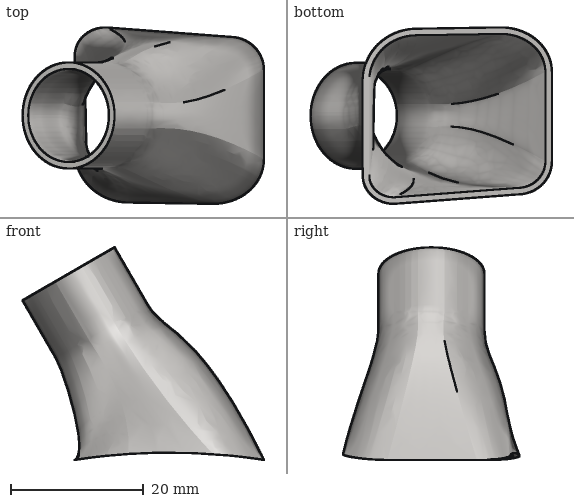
import cadquery as cq
import math

wall = 1.0
neck_radius = 8.0
neck_length = 10.0
neck_tilt = 30.0
neck_top_x = -15.17
neck_top_z = 28.02
foot_half_length = 14.25
saddle_radius = 92.5

end_side_angle = 14.5
flank_side_angle = 16.8

steps_around = 8
neck_sections = 8
flare_sections = 12
sew_tolerance = 1e-3

shapes = cq.occ_impl.shapes

seams = [
    dict(angle=end_side_angle, foot=(foot_half_length, 6.84), pull=6.0, flare=(11.5, 6.5, -22.0)),
    dict(angle=90 - flank_side_angle, foot=(9.06, 11.85), pull=6.0, flare=(14.0, 0.0, -12.5)),
    dict(angle=90 + flank_side_angle, foot=(-9.55, 13.27), pull=4.5, flare=(-7.0, 3.0, -8.0)),
    dict(angle=180 - end_side_angle, foot=(-foot_half_length, 9.0), pull=3.5, flare=(-2.0, 10.5, -1.0)),
    dict(angle=180 + end_side_angle, foot=(-foot_half_length, -5.3), pull=2.0, flare=(-2.5, -3.5, -0.5)),
    dict(angle=270 - flank_side_angle, foot=(-6.1, -13.12), pull=2.0, flare=(-0.5, -3.5, -8.5)),
    dict(angle=270 + flank_side_angle, foot=(6.6, -13.32), pull=4.0, flare=(8.0, -2.0, -8.5)),
    dict(angle=360 - end_side_angle, foot=(foot_half_length, -6.57), pull=5.0, flare=(10.0, -5.5, -20.5)),
]

neck_top = cq.Vector(neck_top_x, 0, neck_top_z)
tilt = math.radians(neck_tilt)
neck_across = cq.Vector(math.cos(tilt), 0, math.sin(tilt))
neck_down = cq.Vector(math.sin(tilt), 0, -math.cos(tilt))
saddle_drop = math.sqrt(saddle_radius**2 - foot_half_length**2)


def mix(start, end, t):
    return start + (end - start) * t


def rim_point(angle, inset):
    """Point on the neck rim, inset from the outer circle."""
    turn = math.radians(angle)
    radius = neck_radius - inset
    return neck_top + neck_across * (radius * math.cos(turn)) + cq.Vector(0, radius * math.sin(turn), 0)


def inset_foot(index, inset):
    """Foot end of a seam, moved inward from the side it belongs to."""
    x, y = seams[index]["foot"]
    if abs(x) == foot_half_length:
        return x - math.copysign(inset, x), y
    return x, y - math.copysign(inset, y)


def seam_angle(index, t):
    """Neck angle part way from one seam to the next."""
    start = seams[index]["angle"]
    end = seams[(index + 1) % len(seams)]["angle"]
    return start + (end - start) % 360 * t


def foot_point(index, t, inset):
    """Point on the foot outline: straight along sides, a quarter ellipse round corners."""
    x0, y0 = inset_foot(index, inset)
    x1, y1 = inset_foot((index + 1) % len(seams), inset)
    turn = t * math.pi / 2
    if index % 2 == 1:
        x, y = mix(x0, x1, t), mix(y0, y1, t)
    elif index % 4 == 0:
        x, y = mix(x1, x0, math.cos(turn)), mix(y0, y1, math.sin(turn))
    else:
        x, y = mix(x0, x1, math.sin(turn)), mix(y1, y0, math.cos(turn))
    return cq.Vector(x, y, math.sqrt(saddle_radius**2 - x**2) - saddle_drop)


def wall_point(index, t, station, inset):
    """Wall point at a station: negative ones lie on the neck, 0 to 1 on a cubic Bezier flare."""
    here = seams[index]
    there = seams[(index + 1) % len(seams)]
    pull = mix(here["pull"], there["pull"], t)
    flare = mix(cq.Vector(*here["flare"]), cq.Vector(*there["flare"]), t)

    rim = rim_point(seam_angle(index, t), inset)
    neck_end = rim + neck_down * neck_length
    if station < 0:
        return mix(neck_end, rim, -station)
    foot = foot_point(index, t, inset)
    upper = neck_end + neck_down * pull
    lower = foot - flare
    rest = 1 - station
    return (
        neck_end * rest**3
        + upper * (3 * rest**2 * station)
        + lower * (3 * rest * station**2)
        + foot * station**3
    )


def section(station, inset):
    """Closed loop round the wall at one station, one edge per side or corner."""
    edges = []
    for index in range(len(seams)):
        points = [wall_point(index, k / steps_around, station, inset) for k in range(steps_around + 1)]
        edges.append(cq.Edge.makeSpline(points))
    return cq.Wire.assembleEdges(edges)


def wall_sections(inset):
    neck_stations = [k / neck_sections - 1 for k in range(neck_sections)]
    flare_stations = [k / flare_sections for k in range(flare_sections + 1)]
    return [section(station, inset) for station in neck_stations + flare_stations]


outer_sections = wall_sections(0)
inner_sections = wall_sections(wall)
outer_wall = shapes.loft(outer_sections, continuity="C1")
inner_wall = shapes.loft(inner_sections, continuity="C1")
foot_face = shapes.loft([outer_sections[-1], inner_sections[-1]], ruled=True)
rim_face = cq.Face.makeFromWires(outer_sections[0], [inner_sections[0]])

faces = []
for skin in (outer_wall, inner_wall, foot_face, rim_face):
    faces.extend(skin.Faces())
pipe_skin = shapes.shell(*faces, tol=sew_tolerance)
result = cq.Workplane(cq.Solid.makeSolid(pipe_skin))